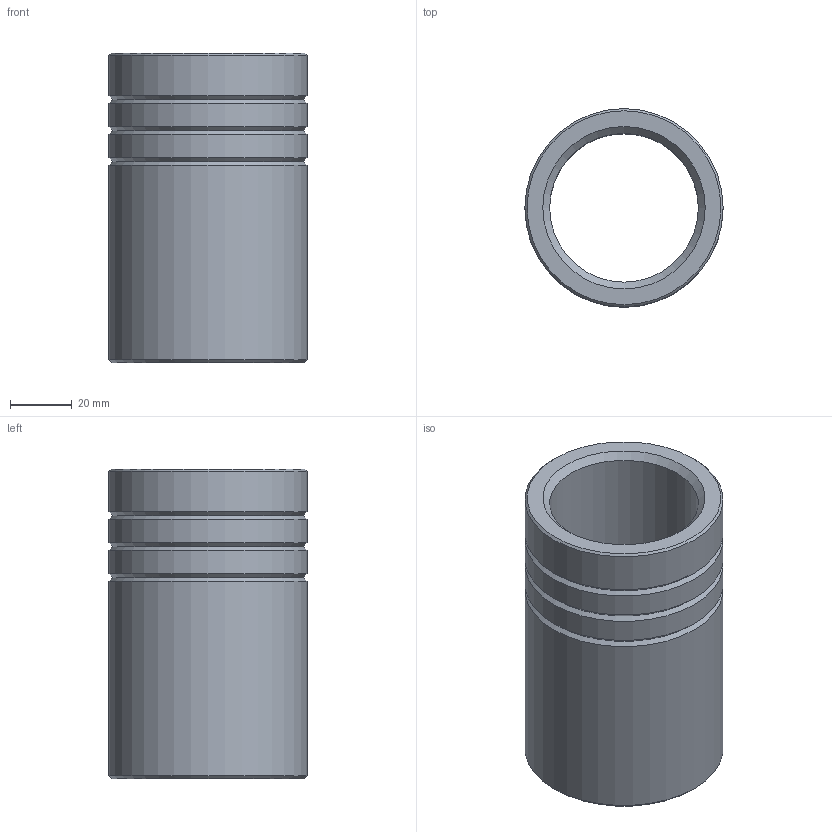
import cadquery as cq

length = 100.0
outer_diameter = 64.0
bore_diameter = 48.0

top_chamfer = 0.7
bottom_chamfer = 1.0
bore_chamfer = 2.2

groove_count = 3
groove_pitch = 10.0
first_groove_from_top = 15.0
groove_depth = 1.25

outer_radius = outer_diameter / 2
bore_radius = bore_diameter / 2


def make_sleeve():
    """Plain tube with a chamfered outer rim at each end."""
    body = cq.Workplane("XY").circle(outer_radius).extrude(length)
    body = body.faces(">Z").edges().chamfer(top_chamfer)
    body = body.faces("<Z").edges().chamfer(bottom_chamfer)
    bore = cq.Workplane("XY").circle(bore_radius).extrude(length)
    return body.cut(bore)


def chamfer_bore(sleeve):
    """Break the upper mouth of the bore with a 45 degree lead-in."""
    mouth = sleeve.faces(">Z").edges(cq.selectors.RadiusNthSelector(0))
    return mouth.chamfer(bore_chamfer)


def make_groove(height):
    """V-shaped ring to cut around the outside, with its bottom at the given height."""
    tip_radius = outer_radius - groove_depth
    reach = 2 * groove_depth
    profile = (
        cq.Workplane("XZ")
        .moveTo(tip_radius, height)
        .lineTo(tip_radius + reach, height + reach)
        .lineTo(tip_radius + reach, height - reach)
        .close()
    )
    return profile.revolve(360, (0, 0, 0), (0, 1, 0))


result = chamfer_bore(make_sleeve())
for index in range(groove_count):
    groove_height = length - first_groove_from_top - index * groove_pitch
    result = result.cut(make_groove(groove_height))